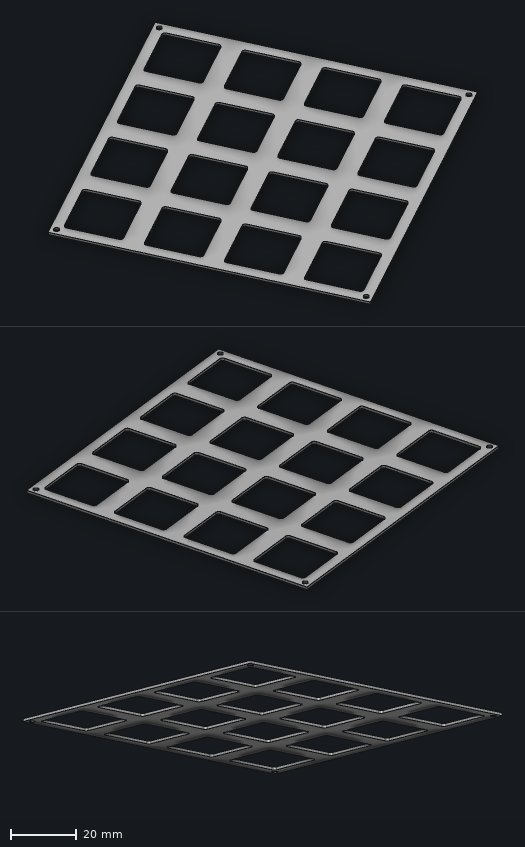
import cadquery as cq

plate_side = 104.35
plate_thickness = 1.0
plate_corner_radius = 0.3

windows_per_side = 4
window_side = 19.0
window_pitch = 25.89
window_corner_radius = 1.0

hole_diameter = 1.75
hole_edge_distance = 2.125


def make_plate():
    """Flat plate with rounded corners, centred on the origin in X and Y, resting on Z = 0."""
    return (
        cq.Workplane("XY")
        .rect(plate_side, plate_side)
        .extrude(plate_thickness)
        .edges("|Z")
        .fillet(plate_corner_radius)
    )


def make_windows():
    """Grid of round-cornered square cutters, one for each window."""
    return (
        cq.Workplane("XY")
        .rarray(window_pitch, window_pitch, windows_per_side, windows_per_side)
        .rect(window_side, window_side)
        .extrude(plate_thickness)
        .edges("|Z")
        .fillet(window_corner_radius)
    )


def make_mounting_holes():
    """Four cylindrical cutters, one near each corner of the plate."""
    hole_spacing = plate_side - 2 * hole_edge_distance
    return (
        cq.Workplane("XY")
        .rarray(hole_spacing, hole_spacing, 2, 2)
        .circle(hole_diameter / 2)
        .extrude(plate_thickness)
    )


result = make_plate().cut(make_windows()).cut(make_mounting_holes())